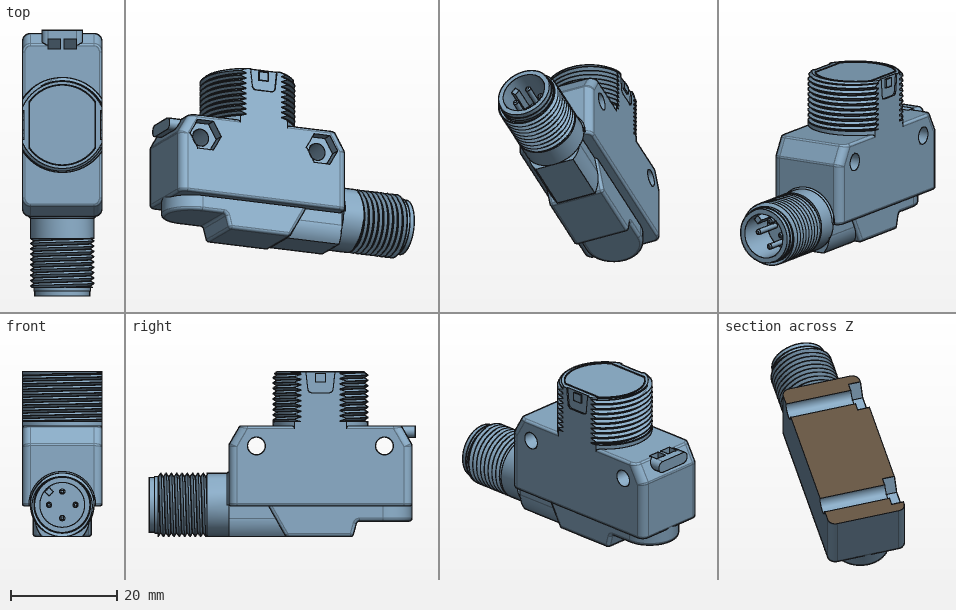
import cadquery as cq
import math

WIDTH = 15.0
HALF_LENGTH = 17.25
HOUSING_TOP = 14.9
HOUSING_BOTTOM = -0.25
SHOULDER_Z = 11.35
SHOULDER_INSET = 2.05
CORNER_RADIUS = 1.5
SHOULDER_RADIUS = 0.7
RIM_RADIUS = 0.5

MOUNT_Y = 12.06
MOUNT_Z = 11.1
MOUNT_HOLE_DIAMETER = 3.3
NUT_ACROSS_FLATS = 5.6
NUT_DEPTH = 2.3

PITCH = 1.0
GROOVE_MOUTH = 0.9
GROOVE_FLOOR = 0.1
GROOVE_OVERCUT = 0.03

NOSE_RADIUS = 8.95
NOSE_ROOT_RADIUS = 8.35
NOSE_TOP = 25.1
NOSE_THREAD_START = 15.7
NOSE_CHAMFER_WIDTH = 0.75
NOSE_CHAMFER_HEIGHT = 0.6
LENS_RADIUS = 7.63
LENS_HALF_WIDTH = 6.28
LENS_GROOVE_WIDTH = 0.12
LENS_GROOVE_DEPTH = 0.1

RECESS_DEPTH = 0.3
RECESS_BOTTOM = 21.1
RECESS_TOP_HALF_WIDTH = 2.75
RECESS_BOTTOM_HALF_WIDTH = 2.3
RECESS_RADIUS = 0.8
TOOTH_WIDTH = 1.9
TOOTH_BOTTOM = 23.1
TOOTH_TOP = 24.75

PLUG_RADIUS = 6.0
PLUG_ROOT_RADIUS = 5.35
COLLAR_RADIUS = 6.0
COLLAR_END = -21.36
PLUG_THREAD_END = -30.6
RELIEF_END = -31.3
TIP_RADIUS = 5.2
TIP_END = -32.25
BORE_RADIUS = 4.23
BORE_DEPTH = 8.0
LIP_RADIUS = 6.3
LIP_LENGTH = 0.35
PIN_RADIUS = 0.5
PIN_CIRCLE_RADIUS = 2.5
PIN_RECESS = 1.8
PIN_CHAMFER = 0.25
PIN_COUNT = 4
KEY_SIZE = 1.14
KEY_RADIUS = 3.5
KEY_ANGLE = 45.0

LID_HALF_WIDTH = 5.5
LID_BOTTOM = -3.1
KEEL_BOTTOM = -6.0
KEEL_BACK_TOP = 6.9
KEEL_BACK_BOTTOM = 6.1
KEEL_FRONT_BOTTOM = -6.5
KEEL_FRONT_TOP = -9.8
LID_EDGE_RADIUS = 0.6

TAIL_HALF_WIDTH = 5.1
TAIL_ROUND_Z = -2.6

TAB_END = 17.86
TAB_START = 13.0
TAB_HEIGHT = 2.25
TAB_WIDTH = 7.7
WINDOW_WIDTH = 2.35
WINDOW_SPACING = 3.03
WINDOW_BACK = 16.2
WINDOW_FRONT = 14.3
WINDOW_DEPTH = 1.9

OVERLAP = 1.0


def cylinder_along_y(radius, start, end):
    """Cylinder on the Y axis from start towards -Y as far as end."""
    return cq.Workplane("XZ", origin=(0, start, 0)).circle(radius).extrude(start - end)


def threaded_rod(crest_radius, root_radius, length):
    """Right-handed threaded rod standing on Z = 0."""
    tool_radius = crest_radius + GROOVE_OVERCUT
    flank = (GROOVE_MOUTH - GROOVE_FLOOR) / (crest_radius - root_radius)
    tool_half_mouth = (GROOVE_FLOOR + flank * (tool_radius - root_radius)) / 2
    helix = cq.Wire.makeHelix(PITCH, length + 2 * PITCH, root_radius)
    groove = (
        cq.Workplane("XZ")
        .polyline([
            (root_radius, -GROOVE_FLOOR / 2),
            (tool_radius, -tool_half_mouth),
            (tool_radius, tool_half_mouth),
            (root_radius, GROOVE_FLOOR / 2),
        ])
        .close()
        .sweep(cq.Workplane(helix), isFrenet=True)
        .translate((0, 0, -PITCH))
    )
    return cq.Workplane("XY").circle(crest_radius).extrude(length).cut(groove, clean=False)


def make_housing():
    shoulder_y = HALF_LENGTH - SHOULDER_INSET
    housing = (
        cq.Workplane("YZ")
        .polyline([
            (-HALF_LENGTH, HOUSING_BOTTOM),
            (HALF_LENGTH, HOUSING_BOTTOM),
            (HALF_LENGTH, SHOULDER_Z),
            (shoulder_y, HOUSING_TOP),
            (-shoulder_y, HOUSING_TOP),
            (-HALF_LENGTH, SHOULDER_Z),
        ])
        .close()
        .extrude(WIDTH / 2, both=True)
    )
    middle_z = (HOUSING_TOP + HOUSING_BOTTOM) / 2
    shoulder_edges = cq.selectors.BoxSelector(
        (-WIDTH, -2 * HALF_LENGTH, middle_z), (WIDTH, 2 * HALF_LENGTH, HOUSING_TOP - OVERLAP)
    )
    housing = housing.edges("|X").edges(shoulder_edges).fillet(SHOULDER_RADIUS)
    side_edges = "(#X) and (not |Y)"
    housing = housing.edges(side_edges).fillet(CORNER_RADIUS)
    return housing.faces(">Z or <Z").edges().fillet(RIM_RADIUS)


def mounting_holes():
    places = [(-MOUNT_Y, MOUNT_Z), (MOUNT_Y, MOUNT_Z)]
    nut_diameter = NUT_ACROSS_FLATS / math.cos(math.pi / 6)
    holes = (
        cq.Workplane("YZ")
        .pushPoints(places)
        .circle(MOUNT_HOLE_DIAMETER / 2)
        .extrude(WIDTH, both=True)
    )
    nut_pockets = (
        cq.Workplane("YZ", origin=(-WIDTH / 2, 0, 0))
        .pushPoints(places)
        .polygon(6, nut_diameter)
        .extrude(NUT_DEPTH)
    )
    return holes.union(nut_pockets)


def lens_outline(inset):
    """Solid disc with two flats, used for both walls of the lens groove."""
    disc = cq.Workplane("XY", origin=(0, 0, NOSE_TOP - LENS_GROOVE_DEPTH))
    disc = disc.circle(LENS_RADIUS - inset).extrude(OVERLAP)
    slab = cq.Workplane("XY", origin=(0, 0, NOSE_TOP))
    return disc.intersect(slab.box(2 * (LENS_HALF_WIDTH - inset), 4 * LENS_RADIUS, 4 * OVERLAP))


def flat_recess():
    """Tapered recess, open at the top, with a tooth left standing; on the -X flat."""
    recess = (
        cq.Workplane("YZ", origin=(-WIDTH / 2, 0, 0))
        .polyline([
            (-RECESS_TOP_HALF_WIDTH, NOSE_TOP),
            (-RECESS_BOTTOM_HALF_WIDTH, RECESS_BOTTOM),
            (RECESS_BOTTOM_HALF_WIDTH, RECESS_BOTTOM),
            (RECESS_TOP_HALF_WIDTH, NOSE_TOP),
        ])
        .close()
        .extrude(RECESS_DEPTH)
        .edges("|X and <Z")
        .fillet(RECESS_RADIUS)
    )
    tooth_height = TOOTH_TOP - TOOTH_BOTTOM
    tooth = cq.Workplane("XY", origin=(-WIDTH / 2, 0, TOOTH_BOTTOM + tooth_height / 2))
    return recess.cut(tooth.box(2 * RECESS_DEPTH, TOOTH_WIDTH, tooth_height))


def between_flats(nose_part):
    """Trim a part of the nose to the width of the housing."""
    slab = cq.Workplane("XY").box(WIDTH, 4 * NOSE_RADIUS, 4 * NOSE_TOP)
    return nose_part.intersect(slab, clean=False)


def make_nose_base():
    base = cq.Workplane("XY", origin=(0, 0, HOUSING_TOP - OVERLAP)).circle(NOSE_RADIUS)
    return between_flats(base.extrude(NOSE_THREAD_START - HOUSING_TOP + OVERLAP))


def nose_rim_cutter():
    """Ring whose conical inside bevels the outer rim of the nose top."""
    slope = NOSE_CHAMFER_HEIGHT / NOSE_CHAMFER_WIDTH
    outer_radius = NOSE_RADIUS + OVERLAP
    return (
        cq.Workplane("XZ")
        .polyline([
            (NOSE_RADIUS - NOSE_CHAMFER_WIDTH, NOSE_TOP),
            (outer_radius, NOSE_TOP),
            (outer_radius, NOSE_TOP - NOSE_CHAMFER_HEIGHT - OVERLAP * slope),
        ])
        .close()
        .revolve(360, (0, 0, 0), (0, 1, 0))
    )


def make_nose_thread():
    """Threaded part of the nose, from its base to the lens."""
    thread = threaded_rod(NOSE_RADIUS, NOSE_ROOT_RADIUS, NOSE_TOP - NOSE_THREAD_START)
    thread = thread.translate((0, 0, NOSE_THREAD_START)).cut(nose_rim_cutter(), clean=False)
    recess = flat_recess()
    details = lens_outline(0).cut(lens_outline(LENS_GROOVE_WIDTH))
    details = details.union(recess).union(recess.mirror("YZ"))
    return between_flats(thread).cut(details, clean=False)


def make_contacts():
    """Pins and coding key rising from the bore floor."""
    floor_y = TIP_END + BORE_DEPTH
    tip_y = TIP_END + PIN_RECESS
    pins = (
        cq.Workplane("XZ", origin=(0, floor_y, 0))
        .polarArray(PIN_CIRCLE_RADIUS, 0, 360, PIN_COUNT)
        .circle(PIN_RADIUS)
        .extrude(floor_y - tip_y)
        .faces("<Y")
        .chamfer(PIN_CHAMFER)
    )
    key = (
        cq.Workplane("XZ", origin=(0, floor_y, 0))
        .center(0, KEY_RADIUS)
        .rect(KEY_SIZE, KEY_SIZE)
        .extrude(floor_y - tip_y)
        .rotate((0, 0, 0), (0, 1, 0), -KEY_ANGLE)
    )
    return pins.union(key)


def make_plug():
    thread = threaded_rod(PLUG_RADIUS, PLUG_ROOT_RADIUS, COLLAR_END - PLUG_THREAD_END)
    thread = thread.rotate((0, 0, 0), (1, 0, 0), 90).translate((0, COLLAR_END, 0))
    collar = cylinder_along_y(COLLAR_RADIUS, -HALF_LENGTH, COLLAR_END)
    relief = cylinder_along_y(PLUG_ROOT_RADIUS, PLUG_THREAD_END, RELIEF_END)
    tip = cylinder_along_y(TIP_RADIUS, RELIEF_END, TIP_END)
    bore = cylinder_along_y(BORE_RADIUS, TIP_END + BORE_DEPTH, TIP_END)
    plug = thread.union(collar, clean=False).union(relief.union(tip), clean=False)
    return plug.cut(bore, clean=False).union(make_contacts(), clean=False)


def make_lip():
    """Flare around the collar, only where the housing wall backs it."""
    lip = cq.Workplane("XZ", origin=(0, -HALF_LENGTH, 0)).circle(LIP_RADIUS)
    lip = lip.workplane(offset=LIP_LENGTH).circle(COLLAR_RADIUS).loft()
    upper_half = cq.Workplane("XY").box(WIDTH, 4 * HALF_LENGTH, WIDTH, centered=(True, True, False))
    return lip.intersect(upper_half)


def make_lid():
    lid_top = HOUSING_BOTTOM + OVERLAP
    keel = (
        cq.Workplane("YZ")
        .polyline([
            (HALF_LENGTH, lid_top),
            (HALF_LENGTH, LID_BOTTOM),
            (KEEL_BACK_TOP, LID_BOTTOM),
            (KEEL_BACK_BOTTOM, KEEL_BOTTOM),
            (KEEL_FRONT_BOTTOM, KEEL_BOTTOM),
            (KEEL_FRONT_TOP, HOUSING_BOTTOM),
            (KEEL_FRONT_TOP, lid_top),
        ])
        .close()
        .extrude(LID_HALF_WIDTH, both=True)
    )
    plan = cq.Workplane("XY").slot2D(2 * HALF_LENGTH, 2 * LID_HALF_WIDTH, 90)
    keel = keel.intersect(plan.extrude(WIDTH, both=True))
    lower_edges = cq.selectors.BoxSelector(
        (-WIDTH, -HALF_LENGTH, KEEL_BOTTOM - OVERLAP),
        (WIDTH, 2 * HALF_LENGTH, HOUSING_BOTTOM - LID_EDGE_RADIUS),
    )
    return keel.edges(lower_edges).fillet(LID_EDGE_RADIUS)


def make_tail():
    """Straight-sided below the housing, round underneath, and flat at the keel's depth."""
    start = KEEL_FRONT_BOTTOM
    round_part = cylinder_along_y(TAIL_HALF_WIDTH, start, -HALF_LENGTH).translate((0, 0, TAIL_ROUND_Z))
    sides = cq.Workplane("XY", origin=(0, (start - HALF_LENGTH) / 2, TAIL_ROUND_Z)).rect(
        2 * TAIL_HALF_WIDTH, start + HALF_LENGTH
    )
    sides = sides.extrude(HOUSING_BOTTOM + OVERLAP - TAIL_ROUND_Z)
    above_floor = cq.Workplane("XY", origin=(0, 0, KEEL_BOTTOM)).rect(WIDTH, 4 * HALF_LENGTH)
    return round_part.union(sides).intersect(above_floor.extrude(HOUSING_BOTTOM + OVERLAP - KEEL_BOTTOM))


def make_tab():
    middle_z = HOUSING_TOP - TAB_HEIGHT / 2
    tab = cq.Workplane("XZ", origin=(0, TAB_END, middle_z))
    return tab.slot2D(TAB_WIDTH, TAB_HEIGHT).extrude(TAB_END - TAB_START)


def tab_windows():
    """Two wedge pockets whose floors fall towards the nose."""
    wedge = (
        cq.Workplane("YZ")
        .polyline([
            (WINDOW_BACK, HOUSING_TOP),
            (WINDOW_FRONT, HOUSING_TOP - WINDOW_DEPTH),
            (WINDOW_FRONT, HOUSING_TOP),
        ])
        .close()
        .extrude(WINDOW_WIDTH / 2, both=True)
    )
    offset = WINDOW_SPACING / 2
    return wedge.translate((-offset, 0, 0)).union(wedge.translate((offset, 0, 0)))


body = make_housing().union(make_tab())
body = body.cut(tab_windows()).cut(mounting_holes())
body = body.union(make_lid()).union(make_tail()).union(make_lip()).union(make_nose_base())
result = body.union(make_nose_thread(), clean=False).union(make_plug(), clean=False).clean()